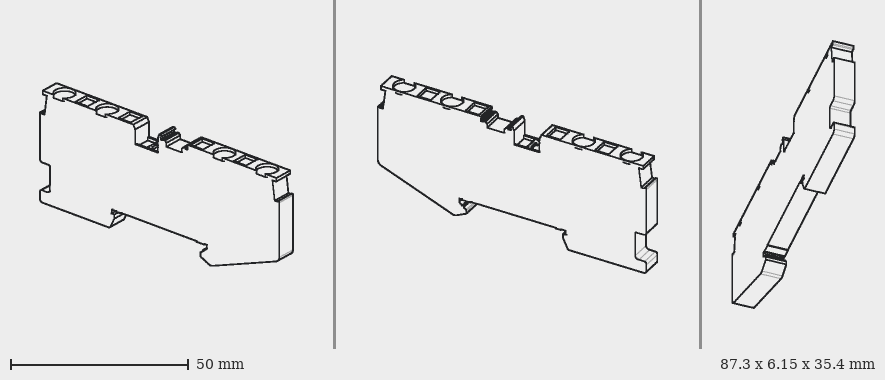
import cadquery as cq
import math

LENGTH = 87.3
THICKNESS = 6.15
HEIGHT = 35.4

LIP_INSET = 1.05
LIP_THICKNESS = 1.2
LIP_RADIUS = 0.25
NECK_TOP_INSET = 2.5
NECK_BOTTOM_INSET = 1.7
LEDGE_Z = 28.05
LEDGE_BUMP_START = 0.8
LEDGE_BUMP_END = 0.5
LEDGE_BUMP_HEIGHT = 0.25
LEDGE_RADIUS = 0.25

NOTCH_DEPTH = 3.7
NOTCH_TOP_Z = 12.65
NOTCH_BOTTOM_Z = 3.9
SIDE_RADIUS = 1.0
NOTCH_CORNER_RADIUS = 0.5
FOOT_TOP_RADIUS = 0.75
NOTCH_FILLET = 1.1
FOOT_RADIUS = 1.0

RAIL_Z = 6.05
PAD_Z = RAIL_Z - 0.22
LEFT_PAD_X = (27.9, 29.4)
RIGHT_PAD_X = (57.1, 59.9)
FIXED_JAW_FOOT_X = 25.5
FIXED_JAW_FOOT_RADIUS = 0.8
FIXED_JAW_TIP_X = 27.15
FIXED_JAW_TIP_Z = (3.45, 4.75)
FIXED_JAW_ROOT_X = 26.1
RAIL_LEFT_X = 26.3
HOOK_ROOT_X = 60.85
HOOK_ROOT_Z = 4.9
HOOK_STEP_X = (59.4, 59.9)
HOOK_STEP_Z = (3.55, 4.0)
HOOK_TIP_X = 58.5
HOOK_TIP_Z = (1.68, 2.95)
HOOK_TIP_RADIUS = 0.4
HOOK_FOOT_X = 62.3
HOOK_FOOT_Z = -0.13
HOOK_FOOT_RADIUS = 1.5

SLOPE_ANGLE = 21.0
SLOPE_TOP_RADIUS = 2.0

SLOT_LEFT_X = 34.75
SLOT_RIGHT_X = 43.0
SLOT_FLOOR_Z = 29.4
SLOT_BEVEL_Z = 34.05
SLOT_BEVEL_WIDTH = 0.65

FINGER_CREST_X = (43.55, 43.95)
FINGER_TIP_X = 44.4
FINGER_TIP_Z = 34.95
FINGER_ROOT_X = 44.0

CHANNEL_LEFT_X = 46.15
CHANNEL_RIGHT_X = 51.75
CHANNEL_FLOOR_Z = 32.3
GROOVE_Z = 33.85
SILL_Z = 34.1
SILL_BEVEL_Z = 33.5
SILL_BEVEL_WIDTH = 0.55
LEFT_GROOVE_END_X = 44.8
LEFT_SILL_X = 45.15
RIGHT_GROOVE_START_X = 53.05
RIGHT_TOP_X = 53.8
CATCH_DEPTH = 0.22
CATCH_TOP_Z = 34.9
CATCH_BOTTOM_Z = 34.5

RECESS_DEPTH = 1.0
FUNNEL_X = (6.73, 22.28)
FUNNEL_Y = -0.28
FUNNEL_RADIUS = 3.2
WINDOW_X = (14.78, 30.47)
WINDOW_LENGTH = 4.45
WINDOW_WIDTH = 5.05

POCKET_WIDTH = 5.05
POCKET_DEPTH = 1.0
BAR_X = 38.9
BAR_RADIUS = 0.97
BAR_WAIST = 0.95
BAR_WAIST_LENGTH = 2.4


def shoulder_points():
    """Left shoulder from the top lip down to the side, as (x, z, corner radius)."""
    lip_bottom = HEIGHT - LIP_THICKNESS
    bump_z = LEDGE_Z + LEDGE_BUMP_HEIGHT
    return [
        (LIP_INSET, HEIGHT, 0),
        (LIP_INSET, lip_bottom, LIP_RADIUS),
        (NECK_TOP_INSET, lip_bottom, 0),
        (NECK_BOTTOM_INSET, LEDGE_Z, 0),
        (LEDGE_BUMP_START, LEDGE_Z, 0),
        (LEDGE_BUMP_END, bump_z, 0),
        (0, bump_z, LEDGE_RADIUS),
    ]


def mirrored(points):
    """The same points on the opposite end, in reverse order."""
    return [(LENGTH - x, z, radius) for x, z, radius in reversed(points)]


def foot_points():
    """Left notch, foot and fixed jaw, down the left side and along the bottom."""
    tip_low, tip_high = FIXED_JAW_TIP_Z
    return [
        (0, NOTCH_TOP_Z, SIDE_RADIUS),
        (NOTCH_DEPTH, NOTCH_TOP_Z, NOTCH_CORNER_RADIUS),
        (NOTCH_DEPTH, NOTCH_BOTTOM_Z, NOTCH_FILLET),
        (0, NOTCH_BOTTOM_Z, FOOT_TOP_RADIUS),
        (0, 0, FOOT_RADIUS),
        (FIXED_JAW_FOOT_X, 0, FIXED_JAW_FOOT_RADIUS),
        (FIXED_JAW_TIP_X, tip_low, 0),
        (FIXED_JAW_TIP_X, tip_high, 0),
        (FIXED_JAW_ROOT_X, tip_high, 0),
    ]


def rail_points():
    """Roof of the rail recess with its two thin pads."""
    points = [(RAIL_LEFT_X, RAIL_Z, 0)]
    for start, end in (LEFT_PAD_X, RIGHT_PAD_X):
        points += [(start, RAIL_Z, 0), (start, PAD_Z, 0), (end, PAD_Z, 0), (end, RAIL_Z, 0)]
    return points


def hook_points():
    """Hooked foot and the sloping edge up to the right side."""
    step_left, step_right = HOOK_STEP_X
    step_low, step_high = HOOK_STEP_Z
    tip_low, tip_high = HOOK_TIP_Z
    slope_top_z = HOOK_FOOT_Z + (LENGTH - HOOK_FOOT_X) * math.tan(math.radians(SLOPE_ANGLE))
    return [
        (HOOK_ROOT_X, RAIL_Z, 0),
        (HOOK_ROOT_X, HOOK_ROOT_Z, 0),
        (step_right, step_high, 0),
        (step_left, step_high, 0),
        (step_left, step_low, 0),
        (HOOK_TIP_X, tip_high, HOOK_TIP_RADIUS),
        (HOOK_TIP_X, tip_low, 0),
        (HOOK_FOOT_X, HOOK_FOOT_Z, HOOK_FOOT_RADIUS),
        (LENGTH, slope_top_z, SLOPE_TOP_RADIUS),
    ]


def channel_points():
    """Marker channel and latch finger, from the right-hand top face leftwards."""
    crest_left, crest_right = FINGER_CREST_X
    return [
        (RIGHT_TOP_X, HEIGHT, 0),
        (RIGHT_TOP_X - CATCH_DEPTH, CATCH_TOP_Z, 0),
        (RIGHT_TOP_X, CATCH_BOTTOM_Z, 0),
        (RIGHT_TOP_X, GROOVE_Z, 0),
        (RIGHT_GROOVE_START_X, GROOVE_Z, 0),
        (RIGHT_GROOVE_START_X, SILL_Z, 0),
        (CHANNEL_RIGHT_X + SILL_BEVEL_WIDTH, SILL_Z, 0),
        (CHANNEL_RIGHT_X, SILL_BEVEL_Z, 0),
        (CHANNEL_RIGHT_X, CHANNEL_FLOOR_Z, 0),
        (CHANNEL_LEFT_X, CHANNEL_FLOOR_Z, 0),
        (CHANNEL_LEFT_X, SILL_BEVEL_Z, 0),
        (CHANNEL_LEFT_X - SILL_BEVEL_WIDTH, SILL_Z, 0),
        (LEFT_SILL_X, SILL_Z, 0),
        (LEFT_GROOVE_END_X, GROOVE_Z, 0),
        (FINGER_ROOT_X, GROOVE_Z, 0),
        (FINGER_ROOT_X, FINGER_TIP_Z - (FINGER_TIP_X - FINGER_ROOT_X), 0),
        (FINGER_TIP_X, FINGER_TIP_Z, 0),
        (crest_right, HEIGHT, 0),
        (crest_left, HEIGHT, 0),
    ]


def slot_points():
    """Centre slot, from the back of the latch finger to the left-hand top face."""
    return [
        (SLOT_RIGHT_X, SLOT_BEVEL_Z, 0),
        (SLOT_RIGHT_X, SLOT_FLOOR_Z, 0),
        (SLOT_LEFT_X, SLOT_FLOOR_Z, 0),
        (SLOT_LEFT_X, SLOT_BEVEL_Z, 0),
        (SLOT_LEFT_X - SLOT_BEVEL_WIDTH, HEIGHT, 0),
    ]


def corner_arc(before, corner, after, radius):
    """Start, middle and end of the arc that rounds a corner of the outline."""
    vertex = cq.Vector(*corner)
    to_before = (cq.Vector(*before) - vertex).normalized()
    to_after = (cq.Vector(*after) - vertex).normalized()
    half_angle = to_before.getAngle(to_after) / 2
    bisector = (to_before + to_after).normalized()
    setback = radius / math.tan(half_angle)
    middle_offset = radius / math.sin(half_angle) - radius
    arc = (vertex + to_before * setback, vertex + bisector * middle_offset, vertex + to_after * setback)
    return [(point.x, point.y) for point in arc]


def make_body():
    """Extruded outline of the block, centred on Y = 0."""
    shoulder = shoulder_points()
    points = shoulder + foot_points() + rail_points() + hook_points()
    points += mirrored(shoulder) + channel_points() + slot_points()
    outline = cq.Workplane("XZ").moveTo(*points[0][:2])
    for index in range(1, len(points)):
        x, z, radius = points[index]
        if radius == 0:
            outline = outline.lineTo(x, z)
            continue
        before = points[index - 1][:2]
        after = points[(index + 1) % len(points)][:2]
        start, middle, end = corner_arc(before, (x, z), after, radius)
        outline = outline.lineTo(*start).threePointArc(middle, end)
    return outline.close().extrude(THICKNESS / 2, both=True)


def both_ends(positions, y):
    """Places at the given X positions and at their mirror images."""
    return [(x, y) for x in positions] + [(LENGTH - x, y) for x in positions]


def cut_top_recesses(body):
    """Round wire funnels, open at the -Y face, and rectangular windows."""
    top = cq.Workplane("XY", origin=(0, 0, HEIGHT))
    funnels = top.pushPoints(both_ends(FUNNEL_X, FUNNEL_Y)).circle(FUNNEL_RADIUS).extrude(-RECESS_DEPTH)
    windows = top.pushPoints(both_ends(WINDOW_X, 0)).rect(WINDOW_LENGTH, WINDOW_WIDTH)
    return body.cut(funnels).cut(windows.extrude(-RECESS_DEPTH))


def cut_slot_pocket(body):
    """Shallow pocket over the whole length of the slot floor."""
    slot_length = SLOT_RIGHT_X - SLOT_LEFT_X
    center = ((SLOT_LEFT_X + SLOT_RIGHT_X) / 2, 0, SLOT_FLOOR_Z)
    pocket = cq.Workplane("XY", origin=center).rect(slot_length, POCKET_WIDTH).extrude(-POCKET_DEPTH)
    return body.cut(pocket)


def make_bar():
    """Round bar half sunk in the pocket floor, narrowed at its middle."""
    axis = (BAR_X, 0, SLOT_FLOOR_Z - POCKET_DEPTH)
    rod = cq.Workplane("XZ", origin=axis).circle(BAR_RADIUS).extrude(POCKET_WIDTH / 2, both=True)
    end_length = (POCKET_WIDTH - BAR_WAIST_LENGTH) / 2
    end_y = (POCKET_WIDTH - end_length) / 2
    plan = cq.Workplane("XY", origin=axis).box(BAR_WAIST, POCKET_WIDTH, 2 * BAR_RADIUS)
    for y in (-end_y, end_y):
        end = cq.Workplane("XY", origin=axis).center(0, y).box(2 * BAR_RADIUS, end_length, 2 * BAR_RADIUS)
        plan = plan.union(end)
    return rod.intersect(plan)


result = cut_slot_pocket(cut_top_recesses(make_body())).union(make_bar())